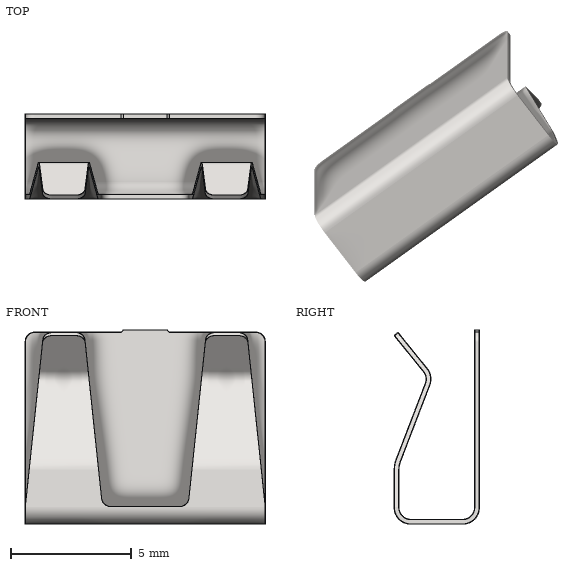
import cadquery as cq
import math

width = 10.0
depth = 3.55
plate_height = 8.0
sheet = 0.2
corner_radius = 0.4

base_radius = 0.5
knee_radius = 1.0
throat_radius = 0.5
knee_height = 2.26
arm_lean = 21.0
tip_lean = 39.0
arm_run = 3.4
tip_run = 1.93

arm_base_width = 3.22
arm_taper = 0.105
notch_gap = 0.03

tab_width = 2.0
tab_height = 0.1

bend_outer = base_radius + sheet
notch_floor = bend_outer + notch_gap
clear_height = plate_height + sheet
arm_center = (width - arm_base_width) / 2


def walk(heading, start, length):
    """Move along a heading measured from +Z toward +Y, in the YZ plane."""
    angle = math.radians(heading)
    return (start[0] + length * math.sin(angle), start[1] + length * math.cos(angle))


def bend(center, radius, angle):
    """Point on a bend, with the angle measured from -Y toward +Z."""
    turn = math.radians(angle)
    return (center[0] - radius * math.cos(turn), center[1] + radius * math.sin(turn))


knee_center = (knee_radius + sheet, knee_height)
knee_end = bend(knee_center, knee_radius + sheet, arm_lean)
throat_start = walk(arm_lean, knee_end, arm_run)
throat_center = bend(throat_start, throat_radius, arm_lean)
throat_end = bend(throat_center, -throat_radius, -tip_lean)
tip_front = walk(-tip_lean, throat_end, tip_run)
tip_back = walk(90 - tip_lean, tip_front, sheet)


def bent_strip():
    """Sheet profile of plate, base and arms, extruded over the full width."""
    front_center = (bend_outer, bend_outer)
    rear_center = (depth - bend_outer, bend_outer)
    throat_outer = throat_radius + sheet
    profile = (
        cq.Workplane("YZ")
        .moveTo(depth, plate_height)
        .lineTo(depth, bend_outer)
        .threePointArc(bend(rear_center, bend_outer, -135), (rear_center[0], 0))
        .lineTo(bend_outer, 0)
        .threePointArc(bend(front_center, bend_outer, -45), (0, bend_outer))
        .lineTo(0, knee_height)
        .threePointArc(bend(knee_center, knee_radius + sheet, arm_lean / 2), knee_end)
        .lineTo(*throat_start)
        .threePointArc(bend(throat_center, -throat_radius, (arm_lean - tip_lean) / 2), throat_end)
        .lineTo(*tip_front)
        .lineTo(*tip_back)
        .lineTo(*bend(throat_center, -throat_outer, -tip_lean))
        .threePointArc(
            bend(throat_center, -throat_outer, (arm_lean - tip_lean) / 2),
            bend(throat_center, -throat_outer, arm_lean),
        )
        .lineTo(*bend(knee_center, knee_radius, arm_lean))
        .threePointArc(bend(knee_center, knee_radius, arm_lean / 2), (sheet, knee_height))
        .lineTo(sheet, bend_outer)
        .threePointArc(bend(front_center, base_radius, -45), (bend_outer, sheet))
        .lineTo(rear_center[0], sheet)
        .threePointArc(bend(rear_center, base_radius, -135), (depth - sheet, bend_outer))
        .lineTo(depth - sheet, plate_height)
        .close()
    )
    return profile.extrude(width / 2, both=True)


def front_prism(points, y_start, thickness):
    """Polygon in X and Z, extruded toward +Y."""
    return cq.Workplane("XZ", origin=(0, y_start, 0)).polyline(points).close().extrude(-thickness)


def edge_inset(height):
    return arm_taper * (height - bend_outer)


def outer_relief(side):
    """Wedge outside an arm, starting at the base bend."""
    edge = side * width / 2
    top_inset = edge_inset(clear_height)
    points = [
        (edge, bend_outer),
        (edge - side * top_inset, clear_height),
        (edge + side * sheet, clear_height),
        (edge + side * sheet, bend_outer),
    ]
    return front_prism(points, -sheet, depth)


def center_notch():
    """Flared opening between the arms, rounded at its two floor corners."""
    half_base = width / 2 - arm_base_width
    half_floor = half_base + edge_inset(notch_floor)
    half_top = half_base + edge_inset(clear_height)
    points = [
        (-half_floor, notch_floor),
        (half_floor, notch_floor),
        (half_top, clear_height),
        (-half_top, clear_height),
    ]
    return front_prism(points, -sheet, depth).edges("|Y and <Z").fillet(corner_radius)


def plate_tab():
    half = tab_width / 2
    points = [
        (-half, plate_height),
        (half, plate_height),
        (half - tab_height, plate_height + tab_height),
        (tab_height - half, plate_height + tab_height),
    ]
    return front_prism(points, depth - sheet, sheet)


def at_tip_corner(side, edge_side):
    """Selector point in the middle of one short edge across an arm tip."""
    y = (tip_front[0] + tip_back[0]) / 2
    z = (tip_front[1] + tip_back[1]) / 2
    half_width = arm_base_width / 2 - edge_inset(z)
    return (side * arm_center + edge_side * half_width, y, z)


sides = (-1, 1)
clip = bent_strip().cut(center_notch())
for side in sides:
    clip = clip.cut(outer_relief(side))

for side in sides:
    for edge_side in sides:
        corner = cq.selectors.NearestToPointSelector(at_tip_corner(side, edge_side))
        clip = clip.edges(corner).fillet(corner_radius)
    plate_corner = (side * width / 2, depth - sheet / 2, plate_height)
    clip = clip.edges(cq.selectors.NearestToPointSelector(plate_corner)).fillet(corner_radius)

result = clip.union(plate_tab())